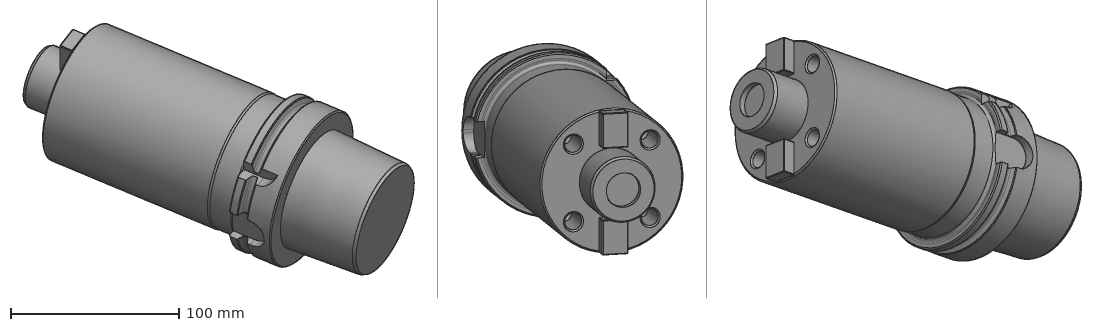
import cadquery as cq
import math


taper_length = 50.0
arbor_reach = 160.0
spigot_length = 27.0

spigot_radius = 20.0
spigot_chamfer_length = 2.0
spigot_chamfer_height = 1.15
body_radius = 44.0
body_edge_chamfer = 1.0
neck_radius = 43.5
neck_start = -45.2
neck_step_length = 1.4
neck_fillet_radius = 2.0
undercut_depth = 0.2
undercut_rim_radius = 46.8
recess_radius = 10.5
recess_depth = 4.0

flange_radius = 50.0
flange_width = 29.0
flange_edge_chamfer = 0.8
groove_center = -19.9
groove_floor_radius = 45.9
groove_floor_width = 3.4
groove_corner_radius = 1.0
groove_mouth_width = 6.2
groove_edge_length = 0.6
groove_edge_height = 0.5

taper_large_radius = 38.1
taper_small_radius = 35.9
taper_end_chamfer_length = 2.0
taper_end_chamfer_height = 1.0

key_width = 16.0
key_height = 8.4
key_inner = 21.8
key_outer = 43.1
key_edge_chamfer = 0.5

hole_circle_diameter = 66.7
hole_radius = 10.3 / 2
hole_mouth_radius = 12.3 / 2
hole_depth = 24.0
drill_point_angle = 118.0

slot_end = -4.2
narrow_slot_width = 20.6
narrow_slot_floor = 44.0
wide_slot_width = 22.0
wide_slot_floor = 43.5
wide_slot_corner_radius = 10.0

notch_edge = 31.6
notch_runout_start = -15.0
notch_runout_radius = 10.0

cut_clearance = 1.0

arbor_face = -arbor_reach
spigot_end = arbor_face - spigot_length
flange_front = -flange_width
slot_start = flange_front - neck_fillet_radius


def turned_body():
    """Revolve the half profile of arbor, flange and taper; the profile's Y is the radius."""
    undercut_floor = flange_front + undercut_depth
    neck_fillet_start = undercut_floor - neck_fillet_radius
    neck_fillet_top = neck_radius + neck_fillet_radius
    fillet_middle_x = neck_fillet_start + neck_fillet_radius * math.sin(math.pi / 4)
    fillet_middle_r = neck_fillet_top - neck_fillet_radius * math.cos(math.pi / 4)
    taper_chamfer_start = taper_length - taper_end_chamfer_length
    profile = (
        cq.Workplane("XY")
        .moveTo(spigot_end, 0)
        .lineTo(spigot_end, spigot_radius - spigot_chamfer_height)
        .lineTo(spigot_end + spigot_chamfer_length, spigot_radius)
        .lineTo(arbor_face, spigot_radius)
        .lineTo(arbor_face, body_radius - body_edge_chamfer)
        .lineTo(arbor_face + body_edge_chamfer, body_radius)
        .lineTo(neck_start - neck_step_length, body_radius)
        .lineTo(neck_start, neck_radius)
        .lineTo(neck_fillet_start, neck_radius)
        .threePointArc((fillet_middle_x, fillet_middle_r), (undercut_floor, neck_fillet_top))
        .lineTo(flange_front, undercut_rim_radius)
        .lineTo(flange_front, flange_radius - flange_edge_chamfer)
        .lineTo(flange_front + flange_edge_chamfer, flange_radius)
        .lineTo(-flange_edge_chamfer, flange_radius)
        .lineTo(0, flange_radius - flange_edge_chamfer)
        .lineTo(0, taper_large_radius)
        .lineTo(taper_chamfer_start, taper_small_radius)
        .lineTo(taper_length, taper_small_radius - taper_end_chamfer_height)
        .lineTo(taper_length, 0)
        .close()
    )
    return profile.revolve(360, (0, 0, 0), (1, 0, 0))


def gripper_groove():
    """Ring with the cross-section of the flange's V groove, rounded along its floor."""
    half_mouth = groove_mouth_width / 2
    half_floor = groove_floor_width / 2
    half_top = half_mouth + groove_edge_length
    groove_edge_radius = flange_radius - groove_edge_height
    ring = (
        cq.Workplane("XY")
        .moveTo(groove_center - half_top, flange_radius)
        .lineTo(groove_center - half_mouth, groove_edge_radius)
        .lineTo(groove_center - half_floor, groove_floor_radius)
        .lineTo(groove_center + half_floor, groove_floor_radius)
        .lineTo(groove_center + half_mouth, groove_edge_radius)
        .lineTo(groove_center + half_top, flange_radius)
        .lineTo(groove_center + half_top, flange_radius + cut_clearance)
        .lineTo(groove_center - half_top, flange_radius + cut_clearance)
        .close()
        .revolve(360, (0, 0, 0), (1, 0, 0))
    )
    floor_edges = cq.selectors.RadiusNthSelector(0)
    return ring.edges(floor_edges).fillet(groove_corner_radius)


def spigot_recess():
    """Shallow round recess in the spigot's end face."""
    return cq.Workplane("YZ", origin=(spigot_end, 0, 0)).circle(recess_radius).extrude(recess_depth)


def drive_key(side):
    """One drive key standing on the arbor face; side is +1 for +Z and -1 for -Z."""
    key = (
        cq.Workplane("XY")
        .box(key_height, key_width, key_outer - key_inner)
        .edges("<X or |X")
        .chamfer(key_edge_chamfer)
    )
    return key.translate((arbor_face - key_height / 2, 0, side * (key_outer + key_inner) / 2))


def face_hole(y, z):
    """Chamfered blind hole with a drill point, bored along +X from the arbor face."""
    mouth_chamfer = hole_mouth_radius - hole_radius
    point_length = hole_radius / math.tan(math.radians(drill_point_angle / 2))
    hole = (
        cq.Workplane("XY")
        .moveTo(0, 0)
        .lineTo(0, hole_mouth_radius)
        .lineTo(mouth_chamfer, hole_radius)
        .lineTo(hole_depth, hole_radius)
        .lineTo(hole_depth + point_length, 0)
        .close()
        .revolve(360, (0, 0, 0), (1, 0, 0))
    )
    return hole.translate((arbor_face, y, z))


def flange_slot(width, floor, corner_radius, side):
    """Slot cut into the flange from its front, closed by a rounded end; side is the sign of Y."""
    half_width = width / 2
    corner_start = slot_end - corner_radius
    end_flat = half_width - corner_radius
    outline = (
        cq.Workplane("XZ", origin=(0, side * floor, 0))
        .moveTo(slot_start, -half_width)
        .lineTo(corner_start, -half_width)
        .radiusArc((slot_end, -end_flat), -corner_radius)
    )
    if end_flat > 0:
        outline = outline.lineTo(slot_end, end_flat)
    outline = (
        outline.radiusArc((corner_start, half_width), -corner_radius)
        .lineTo(slot_start, half_width)
        .close()
    )
    return outline.extrude(-side * (flange_radius - floor + cut_clearance))


def orientation_notch():
    """Square notch in the rim towards -Y and +Z, its floor running out along an arc."""
    size = flange_radius - notch_edge
    runout_end = notch_runout_start + notch_runout_radius
    outline = (
        cq.Workplane("XZ", origin=(0, -notch_edge, 0))
        .moveTo(slot_start, notch_edge)
        .lineTo(notch_runout_start, notch_edge)
        .radiusArc((runout_end, notch_edge + notch_runout_radius), -notch_runout_radius)
        .lineTo(runout_end, flange_radius)
        .lineTo(slot_start, flange_radius)
        .close()
    )
    return outline.extrude(size)


result = turned_body().cut(gripper_groove()).cut(spigot_recess())

for key_side in (1, -1):
    result = result.union(drive_key(key_side))

hole_offset = hole_circle_diameter / 2 * math.cos(math.pi / 4)
for hole_y in (hole_offset, -hole_offset):
    for hole_z in (hole_offset, -hole_offset):
        result = result.cut(face_hole(hole_y, hole_z))

result = result.cut(flange_slot(narrow_slot_width, narrow_slot_floor, narrow_slot_width / 2, -1))
result = result.cut(flange_slot(wide_slot_width, wide_slot_floor, wide_slot_corner_radius, 1))
result = result.cut(orientation_notch())